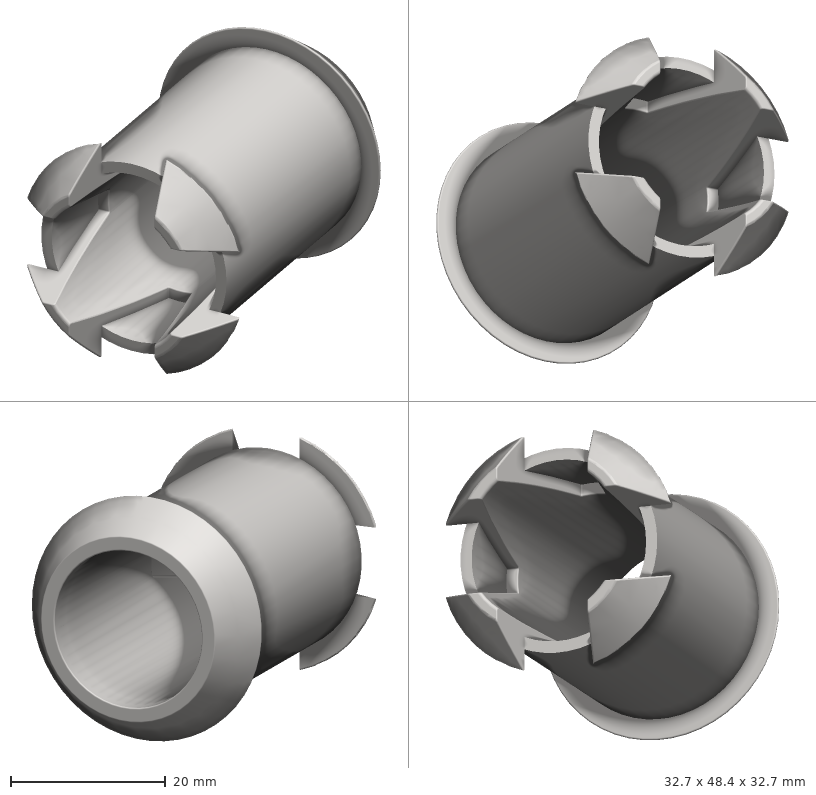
import cadquery as cq
import math

TOTAL_LENGTH = 48.4
HEAD_LENGTH = 6.0
HOOK_LENGTH = 6.0
BORE_RADIUS = 10.5
WALL_RADIUS = 12.1
SLEEVE_RADIUS = 13.65
RIM_RADIUS = 16.55
HEAD_END_RADIUS = 12.4
EDGE_ROUNDING = 0.2
TIP_ROUNDING = 0.5
TOLERANCE = 0.0005

SLOT_COUNT = 4
SLOT_DEPTH = 18.45
SLOT_BOTTOM_WIDTH = 3.35
SLOT_SIDE_ANGLE = 14.0

HEAD_START = TOTAL_LENGTH - HEAD_LENGTH
SLOT_MOUTH_WIDTH = SLOT_BOTTOM_WIDTH + 2 * SLOT_DEPTH * math.tan(math.radians(SLOT_SIDE_ANGLE))


def make_sleeve():
    """Plain tube held between the head and the hooks."""
    return (
        cq.Workplane("XZ", origin=(0, HEAD_START, 0))
        .circle(SLEEVE_RADIUS)
        .circle(WALL_RADIUS)
        .extrude(HEAD_START - HOOK_LENGTH)
    )


def make_insert_blank():
    """Turned insert: conical head, thin wall and a conical hook ring, still unslotted."""
    return (
        cq.Workplane("XY")
        .moveTo(BORE_RADIUS, 0)
        .lineTo(WALL_RADIUS, 0)
        .lineTo(RIM_RADIUS, HOOK_LENGTH)
        .lineTo(WALL_RADIUS, HOOK_LENGTH)
        .lineTo(WALL_RADIUS, HEAD_START)
        .lineTo(RIM_RADIUS, HEAD_START)
        .lineTo(HEAD_END_RADIUS, TOTAL_LENGTH)
        .lineTo(BORE_RADIUS, TOTAL_LENGTH)
        .close()
        .revolve(360, (0, 0, 0), (0, 1, 0))
        .faces("<Y")
        .edges()
        .fillet(TIP_ROUNDING)
    )


def make_slot_cutter(angle):
    """Tapered slot through one side of the wall, with rounded bottom corners."""
    return (
        cq.Workplane("XY")
        .moveTo(-SLOT_MOUTH_WIDTH / 2, 0)
        .lineTo(SLOT_MOUTH_WIDTH / 2, 0)
        .lineTo(SLOT_BOTTOM_WIDTH / 2, SLOT_DEPTH)
        .lineTo(-SLOT_BOTTOM_WIDTH / 2, SLOT_DEPTH)
        .close()
        .extrude(RIM_RADIUS)
        .edges("|Z and >Y")
        .fillet(EDGE_ROUNDING)
        .rotate((0, 0, 0), (0, 1, 0), angle)
    )


def is_rounded_edge(edge):
    """True for the edges along the bore, the rims, the head's small end and the hooks' cone flanks."""
    middle = edge.positionAt(0.5)
    end = edge.endPoint()
    middle_radius = math.hypot(middle.x, middle.z)
    end_radius = math.hypot(end.x, end.z)
    on_turned_edge = abs(middle_radius - end_radius) < TOLERANCE and any(
        abs(middle_radius - radius) < TOLERANCE for radius in (BORE_RADIUS, RIM_RADIUS, HEAD_END_RADIUS)
    )
    between_tip_and_underside = TIP_ROUNDING < middle.y < HOOK_LENGTH - TOLERANCE
    on_hook_flank = between_tip_and_underside and middle_radius > WALL_RADIUS + TOLERANCE
    return on_turned_edge or on_hook_flank


def make_insert():
    """Slotted insert with its exposed edges rounded."""
    insert = make_insert_blank()
    for index in range(SLOT_COUNT):
        insert = insert.cut(make_slot_cutter(index * 360 / SLOT_COUNT))
    rounded_edges = [edge for edge in insert.edges().vals() if is_rounded_edge(edge)]
    return insert.newObject(rounded_edges).fillet(EDGE_ROUNDING)


sleeve = make_sleeve()
insert = make_insert()
result = cq.Compound.makeCompound([sleeve.val(), insert.val()])